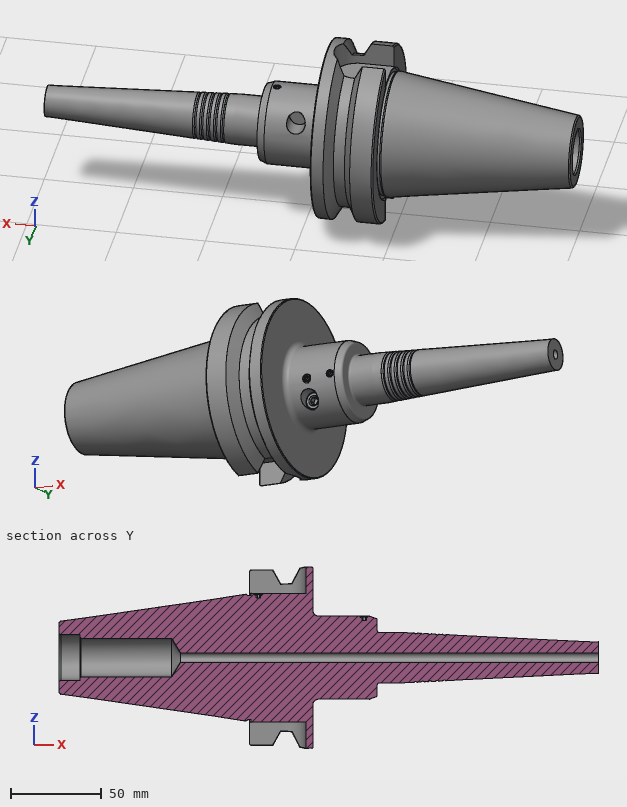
import cadquery as cq
import math

overall_length = 296.8
gauge_x = 101.8
flange_start = gauge_x + 3.0
flange_end = gauge_x + 38.0
hub_end = 175.2
nose_taper_start = 189.8
tip_start = 291.8

gauge_diameter = 69.85
taper_ratio = 7.0 / 24.0
small_end_diameter = gauge_diameter - taper_ratio * gauge_x
small_end_chamfer = 0.8

relief_start = gauge_x + 1.2
relief_floor_start = relief_start + 0.9
relief_floor_diameter = 68.6
relief_face_depth = 0.8
relief_face_diameter = 72.6
relief_rim_diameter = 74.0

flange_diameter = 100.0
flange_rear_chamfer = 0.8
flange_front_chamfer = 0.5
vee_start = 117.6
vee_end = 132.5
vee_floor_diameter = 85.0
vee_half_angle = 30.0
slot_width = 25.7
slot_floor_z = 35.4
slot_end_x = 135.8

hub_diameter = 46.0
hub_root_fillet = 3.0
hub_front_taper_length = 4.4
hub_front_taper_depth = 1.2
hub_front_fillet = 1.2

nose_diameter = 28.0
nose_root_fillet = 1.0
tip_start_diameter = 17.8
tip_end_diameter = 17.6

groove_count = 5
groove_first_x = 195.2
groove_pitch = 3.95
groove_width = 1.9
groove_depth = 0.5

mouth_diameter = 26.0
mouth_depth = 1.0
bore_diameter = 25.0
bore_depth = 11.5
thread_entry_diameter = 22.5
thread_diameter = 21.0
thread_depth = 62.0
bore_tip_angle = 118.0
coolant_diameter = 5.0

clamp_x = 153.6
clamp_offset_z = 12.0
clamp_diameter = 10.4
clamp_depth = 12.0
clamp_screw_face_diameter = 9.0
clamp_screw_entry_diameter = 6.0
clamp_screw_hex = 4.62
clamp_screw_hex_depth = 4.0

large_plug_diameter = 5.0
small_plug_diameter = 4.1
plug_face_diameter = 3.4
plug_entry_diameter = 2.8
plug_hex = 2.31
plug_hex_depth = 2.0
large_plug_z = -1.2
hub_plug_x = 167.9
slot_plug_x = 109.7

screw_sink = 0.5

hub_radius = hub_diameter / 2
nose_radius = nose_diameter / 2
toward_minus_y = (0, -1, 0)
toward_plus_z = (0, 0, 1)


def revolve_about_x(profile):
    return profile.close().revolve(360, (0, 0, 0), (1, 0, 0))


def make_body():
    flange_radius = flange_diameter / 2
    vee_depth = (flange_diameter - vee_floor_diameter) / 2
    vee_run = vee_depth * math.tan(math.radians(vee_half_angle))
    hub_front_radius = hub_radius - hub_front_taper_depth
    profile = (
        cq.Workplane("XY")
        .moveTo(0, 0)
        .lineTo(0, small_end_diameter / 2 - small_end_chamfer)
        .lineTo(small_end_chamfer, (small_end_diameter + taper_ratio * small_end_chamfer) / 2)
        .lineTo(gauge_x, gauge_diameter / 2)
        .lineTo(relief_start, gauge_diameter / 2)
        .lineTo(relief_floor_start, relief_floor_diameter / 2)
        .lineTo(flange_start + relief_face_depth, relief_floor_diameter / 2)
        .lineTo(flange_start + relief_face_depth, relief_face_diameter / 2)
        .lineTo(flange_start, relief_rim_diameter / 2)
        .lineTo(flange_start, flange_radius - flange_rear_chamfer)
        .lineTo(flange_start + flange_rear_chamfer, flange_radius)
        .lineTo(vee_start, flange_radius)
        .lineTo(vee_start + vee_run, vee_floor_diameter / 2)
        .lineTo(vee_end - vee_run, vee_floor_diameter / 2)
        .lineTo(vee_end, flange_radius)
        .lineTo(flange_end - flange_front_chamfer, flange_radius)
        .lineTo(flange_end, flange_radius - flange_front_chamfer)
        .lineTo(flange_end, hub_radius + hub_root_fillet)
        .radiusArc((flange_end + hub_root_fillet, hub_radius), -hub_root_fillet)
        .lineTo(hub_end - hub_front_taper_length, hub_radius)
        .lineTo(hub_end - hub_front_fillet, hub_front_radius)
        .radiusArc((hub_end, hub_front_radius - hub_front_fillet), hub_front_fillet)
        .lineTo(hub_end, nose_radius + nose_root_fillet)
        .radiusArc((hub_end + nose_root_fillet, nose_radius), -nose_root_fillet)
        .lineTo(nose_taper_start, nose_radius)
        .lineTo(tip_start, tip_start_diameter / 2)
        .lineTo(overall_length, tip_end_diameter / 2)
        .lineTo(overall_length, 0)
    )
    return revolve_about_x(profile)


def nose_radius_at(x):
    slope = (tip_start_diameter / 2 - nose_radius) / (tip_start - nose_taper_start)
    return nose_radius + slope * (x - nose_taper_start)


def make_marking_groove(start):
    end = start + groove_width
    middle = (start + end) / 2
    profile = (
        cq.Workplane("XY")
        .moveTo(start, nose_radius_at(start))
        .lineTo(middle, nose_radius_at(middle) - groove_depth)
        .lineTo(end, nose_radius_at(end))
        .lineTo(middle, nose_diameter)
    )
    return revolve_about_x(profile)


def make_bore():
    entry_chamfer = (thread_entry_diameter - thread_diameter) / 2
    tip_length = thread_diameter / 2 / math.tan(math.radians(bore_tip_angle / 2))
    profile = (
        cq.Workplane("XY")
        .moveTo(0, 0)
        .lineTo(0, mouth_diameter / 2)
        .lineTo(mouth_depth, bore_diameter / 2)
        .lineTo(bore_depth, bore_diameter / 2)
        .lineTo(bore_depth, thread_entry_diameter / 2)
        .lineTo(bore_depth + entry_chamfer, thread_diameter / 2)
        .lineTo(thread_depth, thread_diameter / 2)
        .lineTo(thread_depth + tip_length, 0)
    )
    coolant_hole = cq.Workplane("YZ").circle(coolant_diameter / 2).extrude(overall_length)
    return revolve_about_x(profile).union(coolant_hole)


def make_drive_slot():
    half_width = slot_width / 2
    centre_x = slot_end_x - half_width
    return (
        cq.Workplane("XY", origin=(0, 0, slot_floor_z))
        .moveTo(gauge_x, -half_width)
        .lineTo(centre_x, -half_width)
        .radiusArc((centre_x, half_width), -half_width)
        .lineTo(gauge_x, half_width)
        .close()
        .extrude(flange_diameter)
    )


def make_clamp_hole():
    """Blind hole along Y, on the +Y side of the hub and above its axis."""
    return (
        cq.Workplane("XZ", origin=(clamp_x, hub_radius, clamp_offset_z))
        .circle(clamp_diameter / 2)
        .extrude(clamp_depth)
    )


def make_screw_recess(face_centre, outward, hole, face, entry, hexagon, hex_depth):
    """Space above a sunk set screw: its hole, chamfered face edge and hexagon socket.

    face_centre is the middle of the screw face; hole, face, entry and hexagon are diameters.
    """
    edge_drop = (hole - face) / 2
    entry_drop = (entry - hexagon) / 2
    profile = (
        cq.Workplane("XZ")
        .moveTo(0, -entry_drop)
        .lineTo(hexagon / 2, -entry_drop)
        .lineTo(entry / 2, 0)
        .lineTo(face / 2, 0)
        .lineTo(hole / 2, -edge_drop)
        .lineTo(hole / 2, hub_radius)
        .lineTo(0, hub_radius)
        .close()
        .revolve(360, (0, 0, 0), (0, 1, 0))
    )
    plane = cq.Plane(origin=face_centre, xDir=(1, 0, 0), normal=outward)
    recess = profile.val().moved(cq.Location(plane))
    socket = cq.Workplane(plane).polygon(6, hexagon).extrude(-hex_depth)
    return socket.union(cq.Workplane(recess))


def make_clamp_screw_recess():
    """Screw along Y, diametrically opposite the clamp hole."""
    rim_z = clamp_offset_z + clamp_diameter / 2
    rim_distance = math.sqrt(hub_radius**2 - rim_z**2)
    return make_screw_recess(
        (clamp_x, screw_sink - rim_distance, -clamp_offset_z),
        toward_minus_y,
        clamp_diameter,
        clamp_screw_face_diameter,
        clamp_screw_entry_diameter,
        clamp_screw_hex,
        clamp_screw_hex_depth,
    )


def make_plug_recess(face_centre, outward, diameter):
    return make_screw_recess(
        face_centre,
        outward,
        diameter,
        plug_face_diameter,
        plug_entry_diameter,
        plug_hex,
        plug_hex_depth,
    )


result = make_body().cut(make_bore())

for index in range(groove_count):
    result = result.cut(make_marking_groove(groove_first_x + index * groove_pitch))

for turn in (0, 180):
    result = result.cut(make_drive_slot().rotate((0, 0, 0), (1, 0, 0), turn))

result = result.cut(make_clamp_hole()).cut(make_clamp_screw_recess())

hub_plug_face = hub_radius - screw_sink
slot_plug_face = slot_floor_z - screw_sink
plugs = [
    ((clamp_x, -hub_plug_face, large_plug_z), toward_minus_y, large_plug_diameter),
    ((hub_plug_x, -hub_plug_face, 0), toward_minus_y, small_plug_diameter),
    ((hub_plug_x, 0, hub_plug_face), toward_plus_z, small_plug_diameter),
    ((slot_plug_x, 0, slot_plug_face), toward_plus_z, small_plug_diameter),
]
for face_centre, outward, diameter in plugs:
    result = result.cut(make_plug_recess(face_centre, outward, diameter))